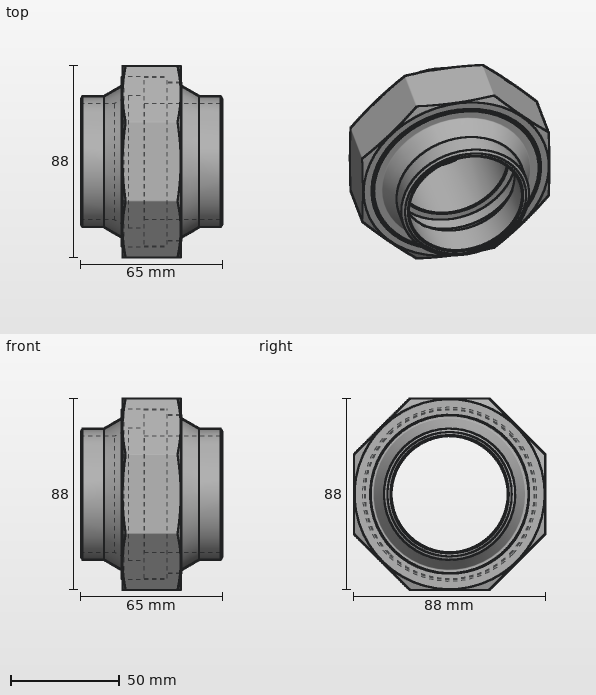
import cadquery as cq
import math

overall_length = 65.0
across_flats = 88.0
flat_count = 8

pipe_diameter = 60.3
pipe_bore = 53.3
pipe_end_length = 10.65
cone_angle = 30.0
weld_bevel_height = 1.6
weld_bevel_length = 0.9
bore_chamfer_height = 0.5
bore_chamfer_length = 0.3
cone_root_fillet = 0.5

wide_bore = 61.0
bore_cone_start = -17.2

joint_x = -3.5
collar_diameter = 77.5
tail_neck_diameter = 72.5
face_protrusion = 0.3

thread_diameter = 78.5
thread_face_diameter = 77.5
nut_mouth_diameter = 80.0

nut_width = 26.9
nut_neck_bore = 73.0
nut_shoulder_x = 7.0
nut_corner_fillet = 1.0
nut_face_diameter = 87.3
nut_corner_chamfer = 1.6

pick_margin = 0.01

half_length = overall_length / 2
half_nut = nut_width / 2
piece_face_x = half_nut + face_protrusion
cone_start_x = half_length - pipe_end_length
cone_end_radius = pipe_diameter / 2 + (cone_start_x - piece_face_x) * math.tan(math.radians(cone_angle))
bore_cone_length = (wide_bore - pipe_bore) / 2 / math.tan(math.radians(cone_angle))
bore_cone_end = bore_cone_start + bore_cone_length


def revolve_about_x(points):
    """Solid of revolution about X from a closed outline of (x, radius) points."""
    return cq.Workplane("XY").polyline(points).close().revolve(360, (0, 0, 0), (1, 0, 0))


def pipe_end_outline(side):
    """Outline from the bore edge of a pipe end to the cone root; side is -1 or +1 along X."""
    return [
        (side * (half_length - bore_chamfer_length), pipe_bore / 2),
        (side * half_length, pipe_bore / 2 + bore_chamfer_height),
        (side * half_length, pipe_diameter / 2 - weld_bevel_height),
        (side * (half_length - weld_bevel_length), pipe_diameter / 2),
        (side * cone_start_x, pipe_diameter / 2),
        (side * piece_face_x, cone_end_radius),
    ]


def fillet_cone_root(body, side):
    """Round the inner corner where the cone meets the annular face."""
    face_x = side * piece_face_x
    reach = cone_end_radius + pick_margin
    root_box = cq.selectors.BoxSelector(
        (face_x - pick_margin, -reach, -reach),
        (face_x + pick_margin, reach, reach),
        boundingbox=True,
    )
    return body.edges(root_box).fillet(cone_root_fillet)


def make_threaded_piece():
    """Pipe end at -X whose threaded barrel screws into the nut."""
    chamfer = (thread_diameter - thread_face_diameter) / 2
    outline = pipe_end_outline(-1) + [
        (-piece_face_x, thread_face_diameter / 2),
        (-piece_face_x + chamfer, thread_diameter / 2),
        (joint_x, thread_diameter / 2),
        (joint_x, wide_bore / 2),
        (bore_cone_end, wide_bore / 2),
        (bore_cone_start, pipe_bore / 2),
    ]
    return fillet_cone_root(revolve_about_x(outline), -1)


def make_tail_piece():
    """Pipe end at +X with a collar that the nut pulls against the threaded piece."""
    outline = pipe_end_outline(1) + [
        (piece_face_x, tail_neck_diameter / 2),
        (nut_shoulder_x, tail_neck_diameter / 2),
        (nut_shoulder_x, collar_diameter / 2),
        (joint_x, collar_diameter / 2),
        (joint_x, pipe_bore / 2 + bore_chamfer_height),
        (joint_x + bore_chamfer_length, pipe_bore / 2),
    ]
    return fillet_cone_root(revolve_about_x(outline), 1)


def make_nut_blank():
    """Octagonal block with rounded corners and turned chamfers on both faces."""
    corner_diameter = across_flats / math.cos(math.pi / flat_count)
    block = (
        cq.Workplane("YZ")
        .transformed(rotate=(0, 0, 180 / flat_count))
        .polygon(flat_count, corner_diameter)
        .extrude(half_nut, both=True)
        .edges("|X")
        .fillet(nut_corner_fillet)
    )
    turned_outline = [
        (-half_nut, 0),
        (-half_nut, nut_face_diameter / 2),
        (-half_nut + nut_corner_chamfer, corner_diameter / 2),
        (half_nut - nut_corner_chamfer, corner_diameter / 2),
        (half_nut, nut_face_diameter / 2),
        (half_nut, 0),
    ]
    return block.intersect(revolve_about_x(turned_outline))


def make_nut():
    """Union nut: threaded from -X up to a shoulder that holds the tail piece collar."""
    mouth_chamfer = (nut_mouth_diameter - thread_diameter) / 2
    opening_outline = [
        (-half_nut, 0),
        (-half_nut, nut_mouth_diameter / 2),
        (-half_nut + mouth_chamfer, thread_diameter / 2),
        (nut_shoulder_x, thread_diameter / 2),
        (nut_shoulder_x, nut_neck_bore / 2),
        (half_nut, nut_neck_bore / 2),
        (half_nut, 0),
    ]
    return make_nut_blank().cut(revolve_about_x(opening_outline))


threaded_piece = make_threaded_piece()
tail_piece = make_tail_piece()
nut = make_nut()

result = cq.Compound.makeCompound([threaded_piece.val(), tail_piece.val(), nut.val()])